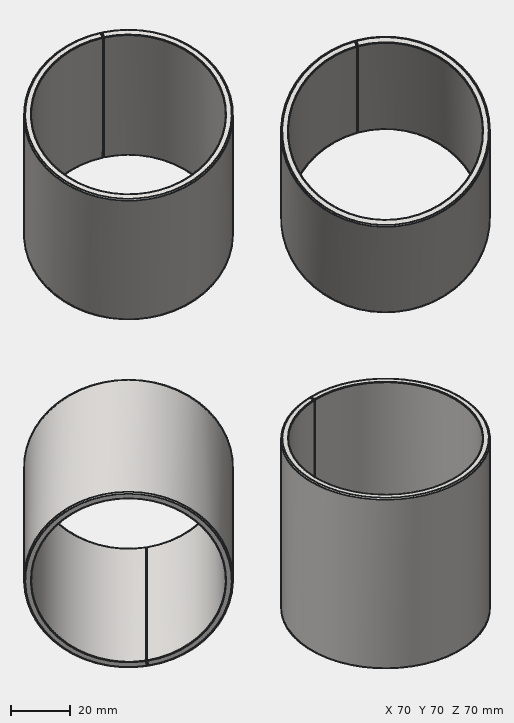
import cadquery as cq

OUTER_DIAMETER = 70.0
WALL_THICKNESS = 2.5
LENGTH = 70.0
OUTER_CHAMFER = 0.5
INNER_CHAMFER = 0.2
SLIT_ANGLE = 1.0

OUTER_RADIUS = OUTER_DIAMETER / 2
INNER_RADIUS = OUTER_RADIUS - WALL_THICKNESS


def make_wall_section():
    """Wall section in the XZ plane on the -X side, with all four corners chamfered."""
    return (
        cq.Workplane("XZ")
        .moveTo(-INNER_RADIUS - INNER_CHAMFER, 0)
        .lineTo(-OUTER_RADIUS + OUTER_CHAMFER, 0)
        .lineTo(-OUTER_RADIUS, OUTER_CHAMFER)
        .lineTo(-OUTER_RADIUS, LENGTH - OUTER_CHAMFER)
        .lineTo(-OUTER_RADIUS + OUTER_CHAMFER, LENGTH)
        .lineTo(-INNER_RADIUS - INNER_CHAMFER, LENGTH)
        .lineTo(-INNER_RADIUS, LENGTH - INNER_CHAMFER)
        .lineTo(-INNER_RADIUS, INNER_CHAMFER)
        .close()
    )


def make_split_sleeve():
    """Sweep the section around Z from -X, leaving a radial slit just on the +Y side of -X."""
    axis_start = (0, 0, 0)
    axis_end = (0, 1, 0)
    return make_wall_section().revolve(360 - SLIT_ANGLE, axis_start, axis_end)


result = make_split_sleeve()